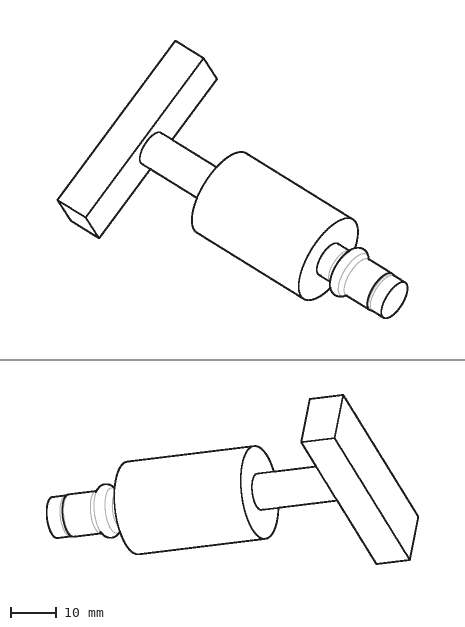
import cadquery as cq
import math

handle_length = 44.0
handle_width = 12.0
handle_thickness = 8.0
handle_tilt = 22.8
handle_offset = 0.2

stem_diameter = 8.0
stem_length = 20.0

barrel_diameter = 20.45
barrel_length = 30.2

neck_radius = 4.0
bead_radius = 5.9
sleeve_radius = 4.7
tip_radius = 4.5
roll_radius = 1.4

bead_center = 64.1
step_center = 73.3
joint_position = 73.0
overall_length = 76.9

stem_start = handle_thickness
barrel_start = stem_start + stem_length
nipple_start = barrel_start + barrel_length


def rod(start, length, diameter):
    """Solid cylinder along +X from the given X position."""
    return cq.Workplane("YZ").workplane(offset=start).circle(diameter / 2).extrude(length)


def shift_and_tilt(body):
    """Move a body along the handle's length, then tilt it about the X axis."""
    return body.translate((0, handle_offset, 0)).rotate((0, 0, 0), (1, 0, 0), handle_tilt)


def blend_span(step):
    """Axial length of an S-blend of two equal arcs across a radial step."""
    return math.sqrt(4 * roll_radius * step - step**2)


def make_handle():
    """Flat bar across the outer end of the stem."""
    bar = cq.Workplane("YZ").rect(handle_length, handle_width).extrude(handle_thickness)
    return shift_and_tilt(bar)


def make_stem():
    """Round stem between handle and barrel."""
    return shift_and_tilt(rod(stem_start, stem_length, stem_diameter))


def make_connector():
    """Revolved neck, rolled bead, sleeve and tip, joined by S-blends."""
    neck_span = blend_span(bead_radius - neck_radius)
    sleeve_span = blend_span(bead_radius - sleeve_radius)
    tip_span = blend_span(sleeve_radius - tip_radius)

    bead_crest = (bead_center, bead_radius)
    neck_inflection = (bead_center - neck_span / 2, (bead_radius + neck_radius) / 2)
    sleeve_inflection = (bead_center + sleeve_span / 2, (bead_radius + sleeve_radius) / 2)
    tip_inflection = (step_center, (sleeve_radius + tip_radius) / 2)

    profile = (
        cq.Workplane("XZ")
        .moveTo(nipple_start, 0)
        .lineTo(nipple_start, neck_radius)
        .lineTo(bead_center - neck_span, neck_radius)
        .tangentArcPoint(neck_inflection, relative=False)
        .threePointArc(bead_crest, sleeve_inflection)
        .tangentArcPoint((bead_center + sleeve_span, sleeve_radius), relative=False)
        .lineTo(step_center - tip_span / 2, sleeve_radius)
        .tangentArcPoint(tip_inflection, relative=False)
        .tangentArcPoint((step_center + tip_span / 2, tip_radius), relative=False)
        .lineTo(overall_length, tip_radius)
        .lineTo(overall_length, 0)
        .close()
    )
    return profile.revolve(360, (0, 0, 0), (1, 0, 0))


def split_connector():
    """Cut the connector at the joint face into the nipple (barrel side) and the tip."""
    joint_plane = cq.Workplane("YZ", origin=(joint_position, 0, 0))
    connector = make_connector().copyWorkplane(joint_plane)
    return connector.split(keepBottom=True), connector.split(keepTop=True)


handle = make_handle()
stem = make_stem()
barrel = rod(barrel_start, barrel_length, barrel_diameter)
nipple, tip = split_connector()

result = cq.Compound.makeCompound([handle.val(), stem.val(), barrel.val(), nipple.val(), tip.val()])